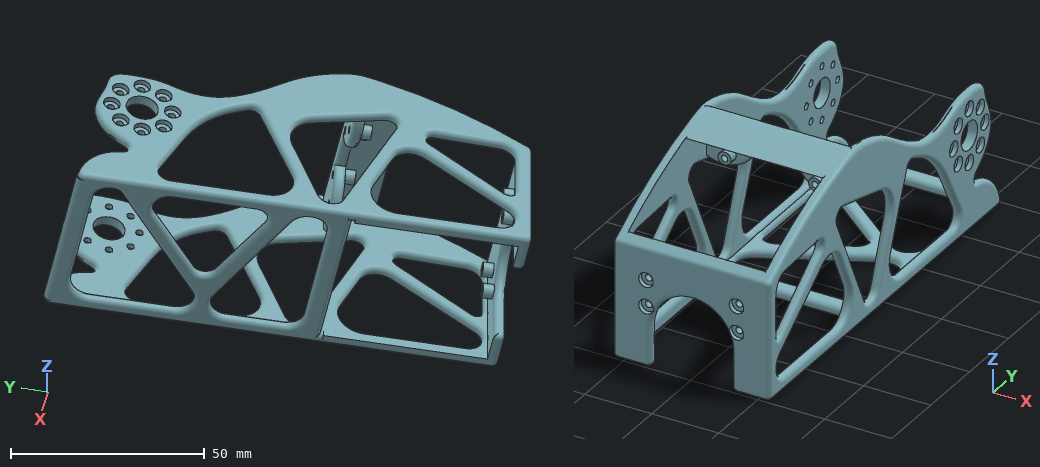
import cadquery as cq
import math

width = 47.0
length = 119.5
plate = 3.0
edge_round = 1.4
strip_height = 1.5
tolerance = 0.01
half_width = width / 2
inner_half = half_width - plate
mid_half = half_width - plate / 2
tall = 71.7

roof_back = 46.1
roof_underside = 49.9
floor_front = 46.8
front_height = 34.9

crest_end = (39.9, 52.1)
slope_middle = (20.3, 45.5)
ear_top = (99.9, 40.6)
ear_curve = [(113.0, 21.3), (114.7, 27.5), (112.0, 35.7)]
back_curve = [(92.0, 38.2), (84.6, 37.2), (76.5, 39.4), (68.1, 44.3), (59.1, 49.8), (48.0, 53.0)]
notch_bottom = (107.5, 12.0)
notch_middle = (106.0, 13.7)
notch_top = (106.8, 15.3)
foot_middle = (115.9, 8.0)
notch_direction = (0.84, 0.54)
ear_direction = (-1, -0.12)
crest_direction = (-1, -0.26)

hub = (102.5, 28.5)
hub_bore = 4.2
hub_pitch = 8.0
hub_holes = 8

hole_radius = 1.0
bore_radius = 2.2
bore_depth = 1.4
boss_radius = 1.9
boss_length = 2.7
screw_x = 13.5
front_screw_heights = (17.9, 25.8)
bulkhead_screws = ((13.5, 41.9), (8.1, 47.3))

arch_radius = 12.1
arch_center_height = 11.8

lobe_x = 15.9
lobe_height = 48.7
lobe_radius = 10.8
lobe_round = 1.0
lintel_bottom = 47.9

window_bottom = 3.7
window_front = 4.2
side_windows = [
    [(100.2, window_bottom, 3.2), (59.1, window_bottom, 6.9), (72.2, 36.3, 2.3), (86.0, 30.2, 28.7)],
    [(53.0, -1.5, 3.5), (33.1, 40.4, 2.5), (65.8, 31.9, 7.8)],
    [(46.1, window_bottom, 6.9), (-5.0, window_bottom, 4.3), (33.3, 30.7, 5.6)],
    [(window_front, 14.6, 1.7), (window_front, 34.4, 4.4), (32.6, 35.4, 2.3)],
]
floor_side = 19.7
floor_windows = [
    [(-floor_side, 114.0, 4.1), (-floor_side, 107.9, 2.9), (floor_side, 76.6, 4.3), (floor_side, 114.0, 6.3)],
    [(-floor_side, 102.7, 4.3), (-floor_side, 65.8, 3.7), (8.7, 80.0, 3.3)],
    [(-floor_side, 60.6, 4.9), (-floor_side, 52.2, 4.9), (floor_side, 52.2, 4.3), (floor_side, 79.8, 4.9)],
]


def rounded_loop(plane, corners):
    """Closed polygon whose corners are replaced by tangent arcs."""
    arcs = []
    for i, (u, v, radius) in enumerate(corners):
        before = corners[i - 1]
        after = corners[(i + 1) % len(corners)]
        angle_before = math.atan2(before[1] - v, before[0] - u)
        angle_after = math.atan2(after[1] - v, after[0] - u)
        half = math.acos(math.cos(angle_after - angle_before)) / 2
        reach = radius / math.tan(half)
        depth = radius / math.sin(half) - radius
        bisector = math.atan2(
            math.sin(angle_before) + math.sin(angle_after),
            math.cos(angle_before) + math.cos(angle_after),
        )
        arcs.append([
            (u + d * math.cos(a), v + d * math.sin(a))
            for d, a in ((reach, angle_before), (depth, bisector), (reach, angle_after))
        ])
    loop = plane.moveTo(*arcs[0][0])
    for i, (start, middle, end) in enumerate(arcs):
        if i > 0:
            loop = loop.lineTo(*start)
        loop = loop.threePointArc(middle, end)
    return loop.close()


def box(x, y, z):
    """Box given by its (low, high) limits along each axis."""
    size = [high - low for low, high in (x, y, z)]
    return cq.Workplane("XY").box(*size, centered=False).translate((x[0], y[0], z[0]))


def wall_outline(x):
    """Side wall outline in the plane at the given X."""
    return (
        cq.Workplane("YZ", origin=(x, 0, 0))
        .lineTo(length, 0)
        .threePointArc(foot_middle, notch_bottom)
        .threePointArc(notch_middle, notch_top)
        .spline(ear_curve + [ear_top], tangents=[notch_direction, ear_direction], includeCurrent=True)
        .spline(back_curve + [crest_end], tangents=[ear_direction, crest_direction], includeCurrent=True)
        .threePointArc(slope_middle, (0, front_height))
        .close()
    )


def hub_cutters():
    """Bore and counterbored ring of screw holes in the right-hand (+X) wall."""
    across = cq.Workplane("YZ", origin=(inner_half, 0, 0))
    cutters = across.center(*hub).circle(hub_bore).extrude(plate)
    ring = across.center(*hub).polarArray(hub_pitch, 0, 360, hub_holes)
    cutters = cutters.union(ring.circle(hole_radius).extrude(plate))
    outer = cq.Workplane("YZ", origin=(half_width - bore_depth, 0, 0)).center(*hub)
    return cutters.union(outer.polarArray(hub_pitch, 0, 360, hub_holes).circle(bore_radius).extrude(bore_depth))


def side_wall():
    """Right-hand (+X) wall with all its edges rounded on both faces."""
    wall = wall_outline(inner_half).extrude(plate)
    for corners in side_windows:
        plane = cq.Workplane("YZ", origin=(inner_half, 0, 0))
        wall = wall.cut(rounded_loop(plane, corners).extrude(plate))
    outer_corners = wall.edges("|X").filter(lambda e: min(e.Center().y, e.Center().z) < tolerance)
    wall = wall.faces("<X or >X").edges().add(outer_corners).fillet(edge_round)
    return wall.cut(hub_cutters())


def floor():
    """Bottom plate with a half-round front end and rounded window rims."""
    slab = (
        cq.Workplane("YZ", origin=(-mid_half, 0, 0))
        .moveTo(length, 0)
        .lineTo(length, plate)
        .lineTo(floor_front + plate / 2, plate)
        .threePointArc((floor_front, plate / 2), (floor_front + plate / 2, 0))
        .close()
        .extrude(2 * mid_half)
    )
    for corners in floor_windows:
        slab = slab.cut(rounded_loop(cq.Workplane("XY"), corners).extrude(plate))
    flat_edges = slab.faces("<Z or >Z").edges()
    rims = flat_edges.filter(
        lambda e: abs(e.Center().x) < mid_half - tolerance and e.Center().y > floor_front + plate
    )
    return rims.fillet(edge_round)


def roof_and_front():
    """Front wall, roof and the strips that keep the walls' inner rims square ahead of the roof's back."""
    block = wall_outline(-mid_half).extrude(2 * mid_half)
    block = block.intersect(box((-half_width, half_width), (0, roof_back), (0, tall)))
    block = block.edges(">Y").edges(">Z").fillet(edge_round)
    block = block.edges("<Y").edges("|X").fillet(edge_round)
    block = block.cut(box((-inner_half, inner_half), (plate, roof_back), (0, roof_underside)))
    for x in (-mid_half, inner_half):
        inside = wall_outline(x).offset2D(-strip_height).extrude(plate / 2)
        block = block.cut(inside)
    return block


def arch():
    """Cutter for the arched opening of the front wall."""
    return (
        cq.Workplane("XZ", origin=(0, plate, 0))
        .moveTo(-arch_radius, -plate)
        .lineTo(-arch_radius, arch_center_height)
        .threePointArc((0, arch_center_height + arch_radius), (arch_radius, arch_center_height))
        .lineTo(arch_radius, -plate)
        .close()
        .extrude(plate)
    )


def rod(radius, x, y, z):
    """Cylinder along Y between the two limits in y."""
    start, end = y
    return cq.Workplane("XZ", origin=(x, start, z)).circle(radius).extrude(start - end)


def front_wall_arch(body):
    """Cut the arch and round its two rims."""
    arch_top = arch_center_height + arch_radius
    around_arch = cq.selectors.BoxSelector(
        (-arch_radius - tolerance, -tolerance, edge_round),
        (arch_radius + tolerance, plate + tolerance, arch_top + tolerance),
    )
    edges = body.cut(arch()).edges(around_arch)
    rims = edges.filter(lambda e: e.Center().y < tolerance or e.Center().y > plate - tolerance)
    return rims.fillet(edge_round)


def bulkhead():
    """Plate under the back of the roof: two round lobes joined by a lintel."""
    faces = (roof_back - plate, roof_back)
    lintel = box((-lobe_x, lobe_x), faces, (lintel_bottom, roof_underside + 1.2))
    lintel = lintel.edges("|X and <Z").fillet(lobe_round)
    for x in (-lobe_x, lobe_x):
        lintel = lintel.union(rod(lobe_radius, x, faces, lobe_height).edges().fillet(lobe_round))
    return lintel.intersect(box((-inner_half, inner_half), faces, (0, roof_underside)))


wall = side_wall()
result = front_wall_arch(roof_and_front()).union(bulkhead())
result = result.union(wall).union(wall.mirror("YZ")).union(floor())

bulkhead_front = roof_back - plate
boss_tip = bulkhead_front - boss_length
for side in (-1, 1):
    for z in front_screw_heights:
        x = side * screw_x
        result = result.union(rod(boss_radius, x, (plate / 2, plate + boss_length), z))
        result = result.cut(rod(bore_radius, x, (0, bore_depth), z))
        result = result.cut(rod(hole_radius, x, (0, plate + boss_length), z))
    for x, z in bulkhead_screws:
        result = result.union(rod(boss_radius, side * x, (boss_tip, bulkhead_front + plate / 2), z))
        result = result.cut(rod(hole_radius, side * x, (boss_tip, roof_back), z))